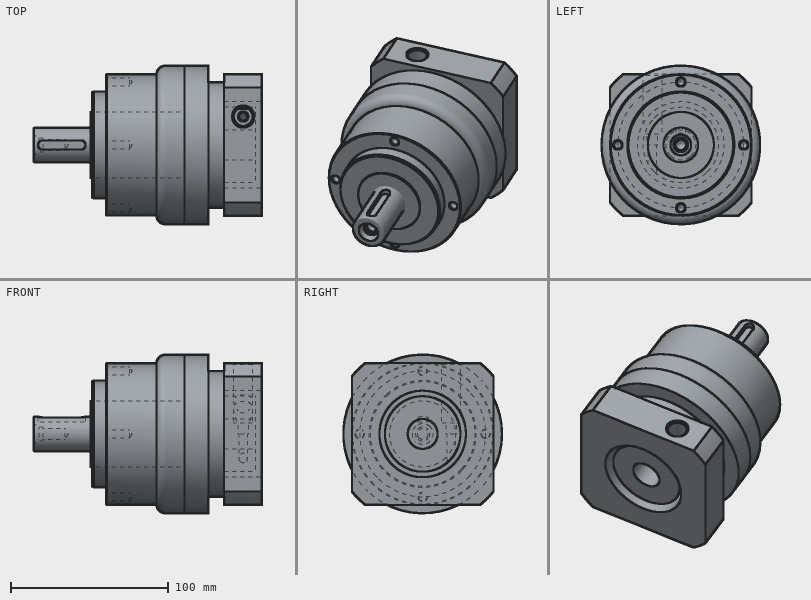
import cadquery as cq
import math


shoulder_x = 36.0
pilot_x = 37.0
body_x = 46.0
flange_x = 77.9
joint_x = 95.7
neck_x = 111.0
plate_x = 121.0
motor_face_x = 145.0

shaft_diameter = 22.0
shaft_tip_fillet = 1.0
shaft_root_fillet = 0.5
shoulder_diameter = 42.0
key_width = 6.0
key_start_x = 2.8
key_end_x = 33.0
key_depth = 3.5

centre_mouth_diameter = 13.2
centre_recess_diameter = 12.1
centre_recess_depth = 0.8
centre_bore_diameter = 9.0
centre_cone_depth = 3.5
centre_bore_depth = 6.0
tap_drill_diameter = 6.8
tap_drill_depth = 20.0
drill_point_angle = 118.0

pilot_diameter = 68.0
pilot_lead_in_length = 1.3
pilot_lead_in_height = 0.75
body_diameter = 90.0
body_chamfer = 0.5
flange_diameter = 100.95
flange_fillet = 6.0
mount_circle_diameter = 80.0
mount_hole_count = 4
mount_hole_diameter = 5.1
mount_hole_mouth = 6.0
mount_hole_depth = 15.0

neck_diameter = 80.0

plate_side = 90.0
plate_corner_diameter = 116.0
plate_bore_diameter = 55.0
access_x = 133.1
access_y = 18.1
access_diameter = 12.1
access_mouth_diameter = 14.1

collar_diameter = 48.0
collar_bore_diameter = 19.0
collar_length = 20.0
screw_seat_height = 7.0
clamp_clearance_diameter = 6.5
clamp_thread_diameter = 5.2


def revolve(profile):
    """Turn an (x, radius) profile, closed along the axis, about X."""
    return profile.close().revolve(360, (0, 0, 0), (1, 0, 0))


def rod(start_x, end_x, diameter):
    """Plain cylinder along the axis."""
    return cq.Workplane("YZ", origin=(start_x, 0, 0)).circle(diameter / 2).extrude(end_x - start_x)


def screw_cylinder(start_z, end_z, diameter):
    """Plain upright cylinder on the axis of the clamp screw."""
    base = cq.Workplane("XY", origin=(access_x, access_y, start_z))
    return base.circle(diameter / 2).extrude(end_z - start_z)


def drill_point_length(diameter):
    return diameter / 2 / math.tan(math.radians(drill_point_angle / 2))


def make_shaft():
    radius = shaft_diameter / 2
    profile = (
        cq.Workplane("XY")
        .lineTo(0, radius - shaft_tip_fillet)
        .radiusArc((shaft_tip_fillet, radius), shaft_tip_fillet)
        .lineTo(shoulder_x - shaft_root_fillet, radius)
        .radiusArc((shoulder_x, radius + shaft_root_fillet), -shaft_root_fillet)
        .lineTo(shoulder_x, shoulder_diameter / 2)
        .lineTo(joint_x, shoulder_diameter / 2)
        .lineTo(joint_x, 0)
    )
    return revolve(profile).cut(keyway()).cut(centre_hole())


def keyway():
    length = key_end_x - key_start_x
    floor_z = shaft_diameter / 2 - key_depth
    return (
        cq.Workplane("XY", origin=(key_start_x + length / 2, 0, floor_z))
        .slot2D(length, key_width)
        .extrude(shaft_diameter)
    )


def centre_hole():
    profile = (
        cq.Workplane("XY")
        .lineTo(0, centre_mouth_diameter / 2)
        .lineTo(centre_recess_depth, centre_recess_diameter / 2)
        .lineTo(centre_cone_depth, centre_bore_diameter / 2)
        .lineTo(centre_bore_depth, centre_bore_diameter / 2)
        .lineTo(centre_bore_depth, tap_drill_diameter / 2)
        .lineTo(tap_drill_depth, tap_drill_diameter / 2)
        .lineTo(tap_drill_depth + drill_point_length(tap_drill_diameter), 0)
    )
    return revolve(profile)


def make_front_housing():
    pilot_radius = pilot_diameter / 2
    body_radius = body_diameter / 2
    flange_radius = flange_diameter / 2
    fillet_centre_radius = flange_radius - flange_fillet
    rise = body_radius - fillet_centre_radius
    fillet_start_x = flange_x + flange_fillet - math.sqrt(flange_fillet**2 - rise**2)
    profile = (
        cq.Workplane("XY")
        .moveTo(pilot_x, 0)
        .lineTo(pilot_x, pilot_radius - pilot_lead_in_height)
        .lineTo(pilot_x + pilot_lead_in_length, pilot_radius)
        .lineTo(body_x, pilot_radius)
        .lineTo(body_x, body_radius - body_chamfer)
        .lineTo(body_x + body_chamfer, body_radius)
        .lineTo(fillet_start_x, body_radius)
        .radiusArc((flange_x + flange_fillet, flange_radius), flange_fillet)
        .lineTo(joint_x, flange_radius)
        .lineTo(joint_x, 0)
    )
    housing = revolve(profile).cut(rod(pilot_x, joint_x, shoulder_diameter))
    for index in range(mount_hole_count):
        housing = housing.cut(mount_hole().rotate((0, 0, 0), (1, 0, 0), index * 360 / mount_hole_count))
    return housing


def mount_hole():
    radius = mount_hole_diameter / 2
    mouth_radius = mount_hole_mouth / 2
    profile = (
        cq.Workplane("XY")
        .moveTo(body_x, 0)
        .lineTo(body_x, mouth_radius)
        .lineTo(body_x + mouth_radius - radius, radius)
        .lineTo(body_x + mount_hole_depth, radius)
        .lineTo(body_x + mount_hole_depth + drill_point_length(mount_hole_diameter), 0)
    )
    return revolve(profile).translate((0, mount_circle_diameter / 2, 0))


def make_rear_housing():
    flange = rod(joint_x, neck_x, flange_diameter)
    return flange.union(rod(neck_x, plate_x, neck_diameter))


def make_motor_plate():
    thickness = motor_face_x - plate_x
    square = cq.Workplane("YZ", origin=(plate_x, 0, 0)).rect(plate_side, plate_side).extrude(thickness)
    corners = rod(plate_x, motor_face_x, plate_corner_diameter)
    plate = square.intersect(corners)
    plate = plate.cut(rod(plate_x, motor_face_x, plate_bore_diameter))
    return plate.cut(access_hole())


def access_hole():
    top_z = plate_side / 2
    mouth_depth = (access_mouth_diameter - access_diameter) / 2
    hole = screw_cylinder(0, top_z, access_diameter)
    mouth = (
        cq.Workplane("XY", origin=(access_x, access_y, top_z))
        .circle(access_mouth_diameter / 2)
        .workplane(offset=-mouth_depth)
        .circle(access_diameter / 2)
        .loft()
    )
    return hole.union(mouth)


def make_clamp_collar():
    end_x = plate_x + collar_length
    collar = rod(plate_x, end_x, collar_diameter).cut(rod(plate_x, end_x, collar_bore_diameter))
    radius = collar_diameter / 2
    return (
        collar.cut(screw_cylinder(screw_seat_height, radius, access_diameter))
        .cut(screw_cylinder(0, radius, clamp_clearance_diameter))
        .cut(screw_cylinder(-radius, 0, clamp_thread_diameter))
    )


shaft = make_shaft()
front_housing = make_front_housing()
rear_housing = make_rear_housing()
motor_plate = make_motor_plate()
clamp_collar = make_clamp_collar()

result = cq.Compound.makeCompound(
    [
        shaft.val(),
        front_housing.val(),
        rear_housing.val(),
        motor_plate.val(),
        clamp_collar.val(),
    ]
)